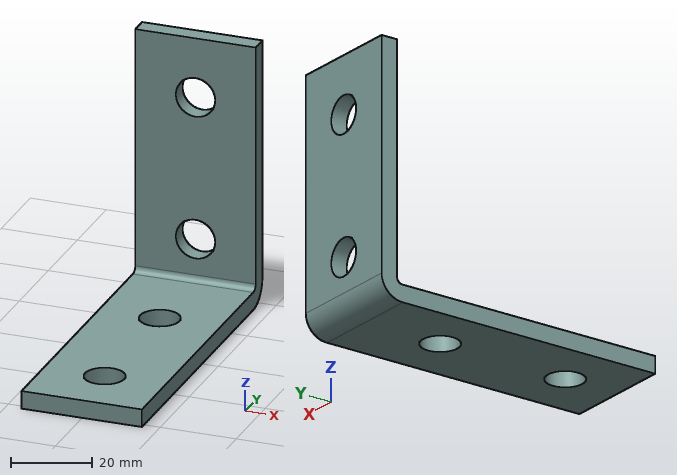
import cadquery as cq

width = 31.75
base_length = 83.3
leg_height = 69.8
thickness = 4.75
inner_bend_radius = 1.6
outer_bend_radius = inner_bend_radius + thickness

hole_diameter = 10.3
hole_end_distance = width / 2
hole_spacing = 38.1
hole_offsets = (hole_end_distance, hole_end_distance + hole_spacing)


def bent_strip():
    """Flat strip bent into an L: base along -Y, leg up +Z, outer corner at the origin."""
    profile = (
        cq.Workplane("YZ")
        .polyline([
            (0, 0),
            (-base_length, 0),
            (-base_length, thickness),
            (-thickness, thickness),
            (-thickness, leg_height),
            (0, leg_height),
        ])
        .close()
    )
    strip = profile.extrude(width / 2, both=True)
    strip = strip.edges(cq.selectors.NearestToPointSelector((0, 0, 0))).fillet(outer_bend_radius)
    inner_corner = (0, -thickness, thickness)
    return strip.edges(cq.selectors.NearestToPointSelector(inner_corner)).fillet(inner_bend_radius)


def base_holes():
    """Vertical cutters, placed from the free end of the base."""
    centers = [(0, offset - base_length) for offset in hole_offsets]
    return cq.Workplane("XY").pushPoints(centers).circle(hole_diameter / 2).extrude(thickness)


def leg_holes():
    """Horizontal cutters, placed from the free end of the leg."""
    centers = [(0, leg_height - offset) for offset in hole_offsets]
    return cq.Workplane("XZ").pushPoints(centers).circle(hole_diameter / 2).extrude(thickness)


result = bent_strip().cut(base_holes()).cut(leg_holes())